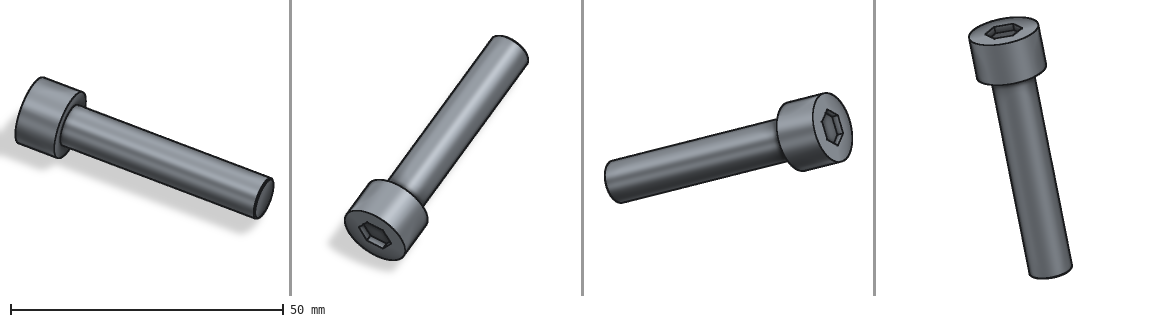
import cadquery as cq
import math

total_length = 48.0
shank_diameter = 8.0
head_diameter = 13.0
head_height = shank_diameter
tip_chamfer = 0.25

socket_across_flats = 6.0
socket_depth = 1.3


def make_head():
    return cq.Workplane("YZ").circle(head_diameter / 2).extrude(head_height)


def make_shank():
    shank = cq.Workplane("YZ").circle(shank_diameter / 2).extrude(total_length)
    return shank.faces(">X").chamfer(tip_chamfer)


def make_socket():
    across_corners = socket_across_flats / math.cos(math.radians(30))
    return cq.Workplane("YZ").polygon(6, across_corners).extrude(socket_depth)


result = make_head().union(make_shank()).cut(make_socket())